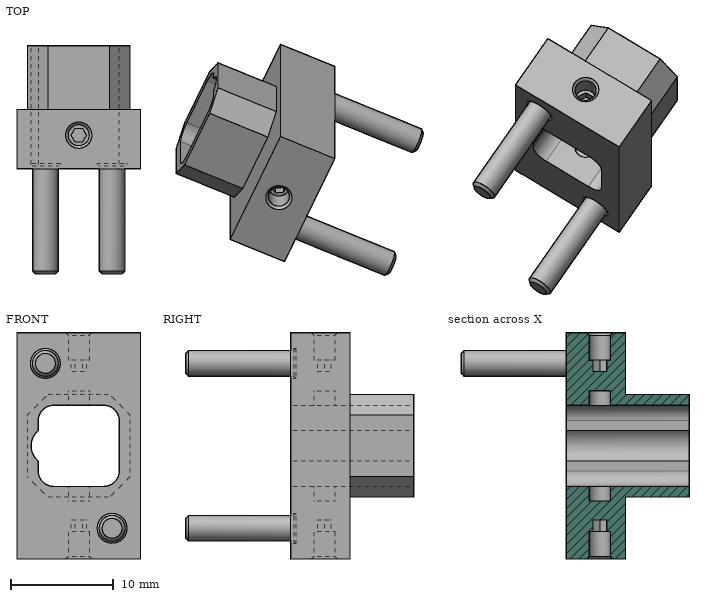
import cadquery as cq
import math

PLATE_WIDTH = 12.0
PLATE_DEPTH = 5.8
PLATE_HEIGHT = 22.0

BOSS_SIZE = 10.0
BOSS_DEPTH = 6.2
BOSS_CHAMFER = 2.0

OVERALL_DEPTH = 22.2
PIN_LENGTH = OVERALL_DEPTH - PLATE_DEPTH - BOSS_DEPTH
PIN_DIAMETER = 2.5
PIN_TIP_CHAMFER = 0.29
PIN_SEAT_DEPTH = PLATE_DEPTH / 2
PIN_OFFSET_X = 3.25
PIN_OFFSET_Z = 8.01
PIN_POSITIONS = [(-PIN_OFFSET_X, PIN_OFFSET_Z), (PIN_OFFSET_X, -PIN_OFFSET_Z)]
PIN_GROOVE_DIAMETER = 2.9
PIN_GROOVE_DEPTH = 0.5

WINDOW_SIZE = 7.85
WINDOW_RADIUS = 1.49
RELIEF_RADIUS = 1.95
RELIEF_DEPTH = 0.69

SCREW_FROM_REAR = 2.5
SCREW_Y = PLATE_DEPTH - SCREW_FROM_REAR
SCREW_HOLE_DIAMETER = 2.05
SCREW_COUNTERSINK_DIAMETER = 2.55
SCREW_LENGTH = 3.0
SCREW_SINK = 2.66
SOCKET_FLATS = 1.3
SOCKET_DEPTH = 1.1


def plate():
    block = cq.Workplane("XY").box(PLATE_WIDTH, PLATE_DEPTH, PLATE_HEIGHT)
    return block.translate((0, PLATE_DEPTH / 2, 0))


def boss():
    block = cq.Workplane("XY").box(BOSS_SIZE, BOSS_DEPTH, BOSS_SIZE)
    block = block.edges("|Y").chamfer(BOSS_CHAMFER)
    return block.translate((0, PLATE_DEPTH + BOSS_DEPTH / 2, 0))


def window():
    """Rounded square opening along Y with the relief cylinder bulging out of its left wall."""
    length = PLATE_DEPTH + BOSS_DEPTH
    relief_x = -WINDOW_SIZE / 2 - RELIEF_DEPTH + RELIEF_RADIUS
    opening = cq.Workplane("XZ").rect(WINDOW_SIZE, WINDOW_SIZE).extrude(-length)
    opening = opening.edges("|Y").fillet(WINDOW_RADIUS)
    relief = cq.Workplane("XZ").center(relief_x, 0).circle(RELIEF_RADIUS).extrude(-length)
    return opening.union(relief)


def pin_grooves():
    """Ring at each pin base: straight outer wall, 45 degree cone rising inwards to the pin."""
    outer_radius = PIN_GROOVE_DIAMETER / 2
    pin_radius = PIN_DIAMETER / 2
    depth = PIN_GROOVE_DEPTH
    shoulder_depth = depth - (outer_radius - pin_radius)
    profile = [(pin_radius, 0), (outer_radius, 0), (outer_radius, depth), (pin_radius, shoulder_depth)]
    ring = cq.Workplane("XY").polyline(profile).close().revolve(360, (0, 0), (0, 1))
    grooves = cq.Workplane("XY")
    for x, z in PIN_POSITIONS:
        grooves = grooves.union(ring.translate((x, 0, z)))
    return grooves


def pins():
    """Pins seated in the plate, chamfered at their front tips."""
    bars = cq.Workplane("XZ", origin=(0, PIN_SEAT_DEPTH, 0)).pushPoints(PIN_POSITIONS)
    bars = bars.circle(PIN_DIAMETER / 2).extrude(PIN_SEAT_DEPTH + PIN_LENGTH)
    return bars.faces("<Y").chamfer(PIN_TIP_CHAMFER)


def screw_hole():
    """Upper screw hole: a 45 degree countersink, then a bore down to the window."""
    hole_radius = SCREW_HOLE_DIAMETER / 2
    mouth_radius = SCREW_COUNTERSINK_DIAMETER / 2
    top = PLATE_HEIGHT / 2
    profile = [
        (0, 0),
        (hole_radius, 0),
        (hole_radius, top - (mouth_radius - hole_radius)),
        (mouth_radius, top),
        (0, top),
    ]
    hole = cq.Workplane("XZ").polyline(profile).close().revolve(360, (0, 0), (0, 1))
    return hole.translate((0, SCREW_Y, 0))


def screw():
    """Upper set screw, filling part of the bore, with a hexagon socket in its outer end."""
    outer_end = cq.Workplane("XY", origin=(0, SCREW_Y, PLATE_HEIGHT / 2 - SCREW_SINK))
    body = outer_end.circle(SCREW_HOLE_DIAMETER / 2).extrude(-SCREW_LENGTH)
    socket_corners = SOCKET_FLATS / math.cos(math.pi / 6)
    return body.cut(outer_end.polygon(6, socket_corners).extrude(-SOCKET_DEPTH))


def both_ends(upper):
    """Pair an upper feature with its mirror image at the lower end."""
    return upper.union(upper.mirror("XY"))


body = plate().union(boss()).cut(window())
body = body.cut(both_ends(screw_hole())).union(both_ends(screw()))
body = body.cut(pin_grooves())
result = body.union(pins())